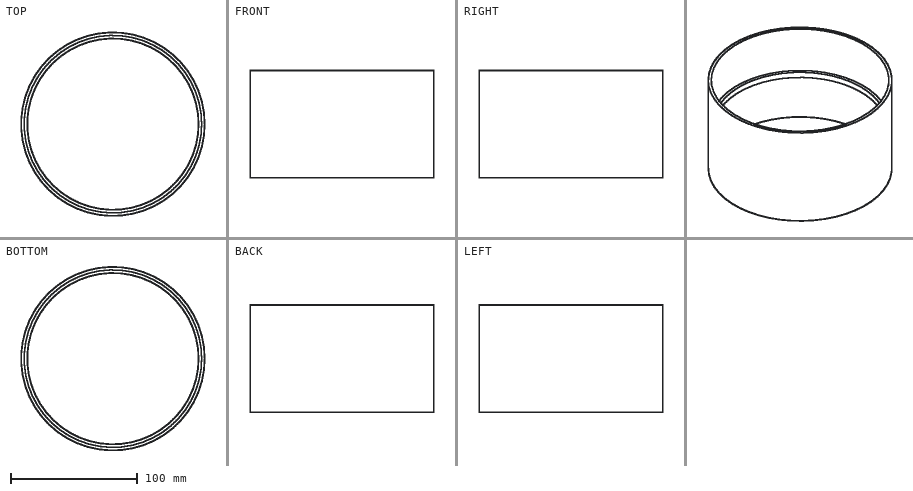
import cadquery as cq

outer_diameter = 145.0
bore_diameter = 140.0
rib_diameter = 135.0
sleeve_length = 85.0
rib_width = 5.0


def ring(outside, inside, length):
    """Ring about the Z axis, centred on the origin."""
    return (
        cq.Workplane("XY")
        .circle(outside / 2)
        .circle(inside / 2)
        .extrude(length / 2, both=True)
    )


sleeve = ring(outer_diameter, bore_diameter, sleeve_length)

stop_rib = ring(outer_diameter, rib_diameter, rib_width)

result = sleeve.union(stop_rib, clean=True)